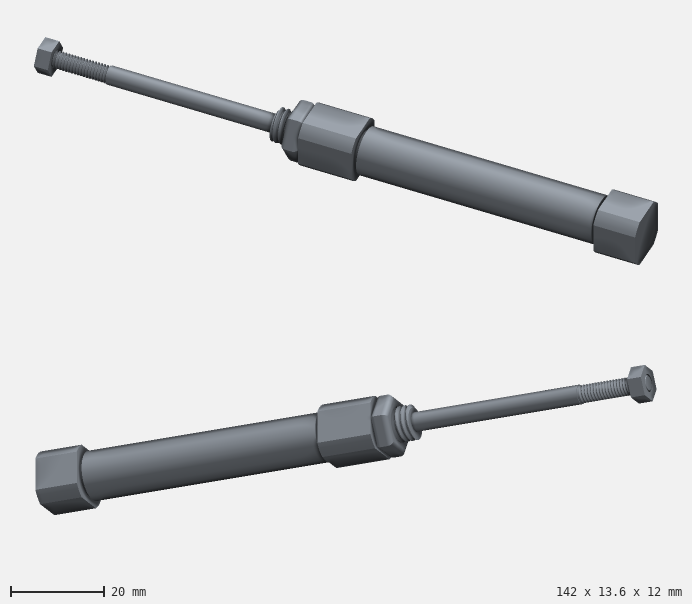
import cadquery as cq
import math

TOTAL_LENGTH = 142.0

ROD_DIAMETER = 4.3
ROD_THREAD_LENGTH = 16.0
ROD_THREAD_MAJOR = 4.0
ROD_THREAD_MINOR = 3.1
ROD_THREAD_PITCH = 0.7
ROD_THREAD_START_ANGLE = 0.0
ROD_TIP_CHAMFER = (ROD_THREAD_MAJOR - ROD_THREAD_MINOR) / 2
END_NUT_ACROSS_FLATS = 7.0
END_NUT_THICKNESS = 3.3

NOSE_START = 55.1
FRONT_BLOCK_START = 62.9
FRONT_BLOCK_LENGTH = 12.5
REAR_BLOCK_LENGTH = 9.8
NECK_LENGTH = 0.9
FRONT_BLOCK_END = FRONT_BLOCK_START + FRONT_BLOCK_LENGTH
REAR_BLOCK_START = TOTAL_LENGTH - REAR_BLOCK_LENGTH
TUBE_START = FRONT_BLOCK_END + NECK_LENGTH
TUBE_END = REAR_BLOCK_START - NECK_LENGTH

BLOCK_ACROSS_FLATS = 12.0
BLOCK_ROUND_DIAMETER = 14.0
NECK_DIAMETER = 9.0
TUBE_DIAMETER = 11.0
NOSE_THREAD_MAJOR = 7.8
NOSE_THREAD_MINOR = 6.4
NOSE_THREAD_PITCH = 1.3
NOSE_THREAD_START_ANGLE = 180.0
ROD_END = FRONT_BLOCK_END

MOUNTING_NUT_ACROSS_CORNERS = 13.6
MOUNTING_NUT_THICKNESS = 4.0
MOUNTING_NUT_FILLET = 1.1

THREAD_FLANK_ANGLE = 30.0
ROOT_WIDTH_IN_PITCHES = 0.2
GROOVE_CLEARANCE_IN_DEPTHS = 0.1


def plane_at(x):
    """Workplane facing +X, with local X along Y and local Y along Z."""
    return cq.Workplane("YZ", origin=(x, 0, 0))


def rod_section(start, end, diameter):
    """Round bar on the X axis between two positions."""
    return plane_at(start).circle(diameter / 2).extrude(end - start)


def hex_prism(start, thickness, across_corners):
    """Hexagonal prism with two corners on the Y axis."""
    return plane_at(start).polygon(6, across_corners).extrude(thickness)


def thread_groove(start, end, major, minor, pitch, start_angle):
    """Right-handed V groove with a flat root, wound about the X axis from start to end."""
    depth = (major - minor) / 2
    top_radius = major / 2 + depth * GROOVE_CLEARANCE_IN_DEPTHS
    root_radius = minor / 2
    root_half_width = pitch * ROOT_WIDTH_IN_PITCHES / 2
    widening = (top_radius - root_radius) * math.tan(math.radians(THREAD_FLANK_ANGLE))
    top_half_width = root_half_width + widening
    path = cq.Wire.makeHelix(pitch, end - start, root_radius)
    groove = (
        cq.Workplane("XZ")
        .polyline([
            (root_radius, -root_half_width),
            (top_radius, -top_half_width),
            (top_radius, top_half_width),
            (root_radius, root_half_width),
        ])
        .close()
        .sweep(cq.Workplane(obj=path), isFrenet=True)
    )
    return (
        groove.rotate((0, 0, 0), (0, 0, 1), start_angle)
        .rotate((0, 0, 0), (0, 1, 0), 90)
        .translate((start, 0, 0))
    )


def make_rod():
    threaded = rod_section(0, ROD_THREAD_LENGTH, ROD_THREAD_MAJOR).faces("<X").chamfer(ROD_TIP_CHAMFER)
    groove = thread_groove(
        END_NUT_THICKNESS - ROD_THREAD_PITCH, ROD_THREAD_LENGTH - ROD_THREAD_PITCH / 2,
        ROD_THREAD_MAJOR, ROD_THREAD_MINOR, ROD_THREAD_PITCH, ROD_THREAD_START_ANGLE,
    )
    return threaded.cut(groove).union(rod_section(ROD_THREAD_LENGTH, ROD_END, ROD_DIAMETER))


def make_end_nut():
    across_corners = END_NUT_ACROSS_FLATS / math.cos(math.pi / 6)
    nut = hex_prism(0, END_NUT_THICKNESS, across_corners)
    return nut.cut(rod_section(0, END_NUT_THICKNESS, ROD_THREAD_MAJOR))


def make_block(start, length):
    """Square block turned down at its four corners."""
    square = plane_at(start).rect(BLOCK_ACROSS_FLATS, BLOCK_ACROSS_FLATS).extrude(length)
    return square.intersect(rod_section(start, start + length, BLOCK_ROUND_DIAMETER))


def make_nose():
    nose = rod_section(NOSE_START, FRONT_BLOCK_START, NOSE_THREAD_MAJOR)
    return nose.cut(thread_groove(
        NOSE_START - NOSE_THREAD_PITCH, FRONT_BLOCK_START - NOSE_THREAD_PITCH,
        NOSE_THREAD_MAJOR, NOSE_THREAD_MINOR, NOSE_THREAD_PITCH, NOSE_THREAD_START_ANGLE,
    ))


def make_body():
    body = (
        make_nose()
        .union(make_block(FRONT_BLOCK_START, FRONT_BLOCK_LENGTH))
        .union(rod_section(FRONT_BLOCK_END, REAR_BLOCK_START, NECK_DIAMETER))
        .union(rod_section(TUBE_START, TUBE_END, TUBE_DIAMETER))
        .union(make_block(REAR_BLOCK_START, REAR_BLOCK_LENGTH))
    )
    return body.cut(rod_section(NOSE_START, ROD_END, ROD_DIAMETER))


def make_mounting_nut():
    start = FRONT_BLOCK_START - MOUNTING_NUT_THICKNESS
    nut = hex_prism(start, MOUNTING_NUT_THICKNESS, MOUNTING_NUT_ACROSS_CORNERS)
    nut = nut.faces("<X or >X").edges().fillet(MOUNTING_NUT_FILLET)
    return nut.cut(rod_section(start, FRONT_BLOCK_START, NOSE_THREAD_MAJOR))


rod = make_rod()
end_nut = make_end_nut()
body = make_body()
mounting_nut = make_mounting_nut()
result = cq.Compound.makeCompound([rod.val(), end_nut.val(), body.val(), mounting_nut.val()])